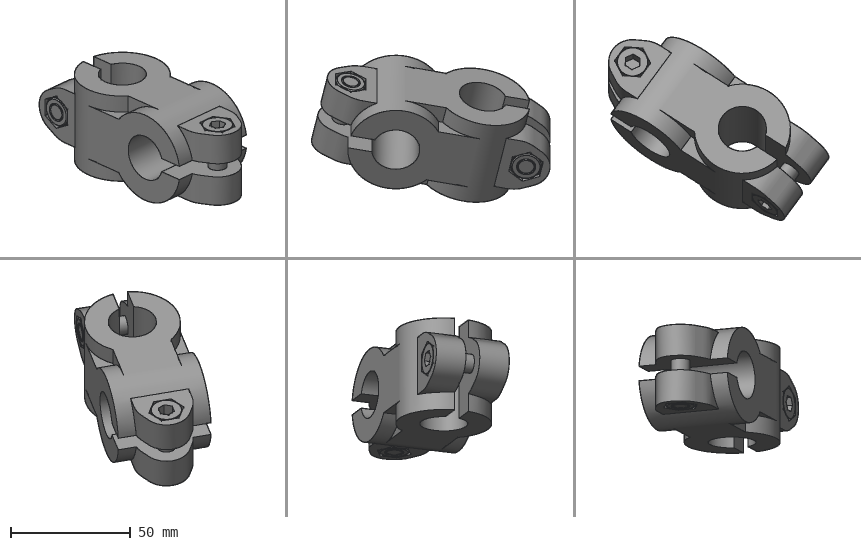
import cadquery as cq
import math


barrel_diameter = 40.0
barrel_length = 40.0
bore_diameter = 20.0
bore_spacing = 33.0
web_thickness = 25.0
slot_width = 6.2

ear_height = web_thickness
ear_span = 32.8
ear_tip_radius = 10.0
ear_flank_angle = 29.0
ear_blend_radius = 12.5

bolt_diameter = 8.0
bolt_offset = 22.5
bolt_tip_diameter = 6.5
hex_sides = 6
hex_corner_diameter = 15.0
head_diameter = 12.9
head_top_diameter = 12.6
head_height = 8.0
socket_width = 6.0
socket_depth = 5.0
nut_height = 8.0
nut_collar_height = 1.5
nut_collar_diameter = 12.6
nut_face_diameter = 11.6
nut_chamfer_angle = 15.0
nut_countersink_diameter = 8.0

barrel_x = -bore_spacing / 2
bolt_x = barrel_x - bolt_offset
ear_face = ear_span / 2
slot_overrun = 1.0


def cylinder_y(diameter, y_start, y_end):
    """Cylinder on the bolt axis between two Y positions."""
    plane = cq.Plane(origin=(bolt_x, y_start, 0), xDir=(1, 0, 0), normal=(0, 1, 0))
    return cq.Workplane(plane).circle(diameter / 2).extrude(y_end - y_start)


def hex_prism_y(corner_diameter, y_start, y_end, corner_direction):
    """Hexagonal prism on the bolt axis with a corner pointing along corner_direction."""
    plane = cq.Plane(origin=(bolt_x, y_start, 0), xDir=corner_direction, normal=(0, 1, 0))
    return cq.Workplane(plane).polygon(hex_sides, corner_diameter).extrude(y_end - y_start)


def cone_y(start_diameter, end_diameter, y_start, y_end):
    """Truncated cone on the bolt axis between two Y positions."""
    cone = cq.Solid.makeCone(
        start_diameter / 2,
        end_diameter / 2,
        abs(y_end - y_start),
        pnt=cq.Vector(bolt_x, y_start, 0),
        dir=cq.Vector(0, math.copysign(1, y_end - y_start), 0),
    )
    return cq.Workplane(cone)


def make_ears():
    """Rounded ear block: flat sides, blended into tapered flanks that meet a round tip."""
    angle = math.radians(ear_flank_angle)
    half_height = ear_height / 2
    tip_tangent_x = bolt_x - ear_tip_radius * math.sin(angle)
    tip_tangent_z = ear_tip_radius * math.cos(angle)
    corner_x = tip_tangent_x + (half_height - tip_tangent_z) / math.tan(angle)
    blend_x = corner_x + ear_blend_radius * math.tan(angle / 2)
    blend_center_z = half_height - ear_blend_radius
    blend_end_x = blend_x - ear_blend_radius * math.sin(angle)
    blend_end_z = blend_center_z + ear_blend_radius * math.cos(angle)
    blend_mid_x = blend_x - ear_blend_radius * math.sin(angle / 2)
    blend_mid_z = blend_center_z + ear_blend_radius * math.cos(angle / 2)
    return (
        cq.Workplane("XZ", origin=(0, ear_face, 0))
        .moveTo(barrel_x, half_height)
        .lineTo(blend_x, half_height)
        .threePointArc((blend_mid_x, blend_mid_z), (blend_end_x, blend_end_z))
        .lineTo(tip_tangent_x, tip_tangent_z)
        .threePointArc((bolt_x - ear_tip_radius, 0), (tip_tangent_x, -tip_tangent_z))
        .lineTo(blend_end_x, -blend_end_z)
        .threePointArc((blend_mid_x, -blend_mid_z), (blend_x, -half_height))
        .lineTo(barrel_x, -half_height)
        .close()
        .extrude(ear_span)
    )


def make_barrel():
    """Solid barrel with its ears, before boring and slotting."""
    barrel = (
        cq.Workplane("XY", origin=(barrel_x, 0, -barrel_length / 2))
        .circle(barrel_diameter / 2)
        .extrude(barrel_length)
    )
    return barrel.union(make_ears())


def make_clamp_cuts():
    """Bore, slot through the ears, and the two hexagonal pockets."""
    bore = (
        cq.Workplane("XY", origin=(barrel_x, 0, -barrel_length / 2))
        .circle(bore_diameter / 2)
        .extrude(barrel_length)
    )
    slot_length = bolt_offset + ear_tip_radius + slot_overrun
    slot = cq.Workplane("XY", origin=(barrel_x - slot_length / 2, 0, 0)).box(
        slot_length, slot_width, barrel_length
    )
    head_pocket = hex_prism_y(hex_corner_diameter, ear_face - head_height, ear_face, (0, 0, 1))
    nut_pocket = hex_prism_y(hex_corner_diameter, -ear_face, nut_height - ear_face, (0, 0, 1))
    return bore.union(slot).union(head_pocket).union(nut_pocket)


def make_head():
    """Cap head with a bevelled rim and a hexagonal socket, flush with the +Y ear face."""
    bevel = (head_diameter - head_top_diameter) / 2
    rim_y = ear_face - bevel
    head = cylinder_y(head_diameter, ear_face - head_height, rim_y)
    head = head.union(cone_y(head_diameter, head_top_diameter, rim_y, ear_face))
    socket_corner_diameter = socket_width / math.cos(math.pi / hex_sides)
    socket = hex_prism_y(socket_corner_diameter, ear_face - socket_depth, ear_face, (1, 0, 0))
    return head.cut(socket)


def make_nut():
    """Hexagonal nut with a bevelled round collar, its countersunk end flush with the -Y ear face."""
    nut_base_y = nut_height - ear_face
    shoulder_y = nut_collar_height - ear_face
    collar_bevel = (nut_collar_diameter - nut_face_diameter) / 2
    rim_y = collar_bevel - ear_face
    hexagon = hex_prism_y(hex_corner_diameter, shoulder_y, nut_base_y, (0, 0, 1))
    cone_growth = 2 * (nut_base_y - shoulder_y) / math.tan(math.radians(nut_chamfer_angle))
    envelope_base_diameter = nut_collar_diameter + cone_growth
    envelope = cone_y(nut_collar_diameter, envelope_base_diameter, shoulder_y, nut_base_y)
    collar = cylinder_y(nut_collar_diameter, rim_y, nut_base_y)
    collar_rim = cone_y(nut_collar_diameter, nut_face_diameter, rim_y, -ear_face)
    countersink_end = (nut_countersink_diameter - bolt_tip_diameter) / 2 - ear_face
    countersink = cone_y(nut_countersink_diameter, bolt_tip_diameter, -ear_face, countersink_end)
    return hexagon.intersect(envelope).union(collar).union(collar_rim).cut(countersink)


def make_bolt():
    """Bolt shank with a bevelled tip, joined to its head and nut."""
    tip_bevel = (bolt_diameter - bolt_tip_diameter) / 2
    bevel_y = tip_bevel - ear_face
    shank = cylinder_y(bolt_diameter, bevel_y, ear_face - head_height)
    tip = cone_y(bolt_diameter, bolt_tip_diameter, bevel_y, -ear_face)
    return shank.union(tip).union(make_head()).union(make_nut())


def on_second_clamp(shape):
    """Half turn about the Y = Z diagonal, which carries the first clamp onto the second."""
    return shape.rotate((0, 0, 0), (0, 1, 1), 180)


barrel_blank = make_barrel()
clamp_cuts = make_clamp_cuts()
bolt = make_bolt()
web_plate = cq.Workplane("XY").box(bore_spacing, web_thickness, barrel_length)

body = barrel_blank.union(web_plate)
body = body.union(on_second_clamp(barrel_blank)).union(on_second_clamp(web_plate))
body = body.cut(clamp_cuts).cut(on_second_clamp(clamp_cuts))
result = body.union(bolt).union(on_second_clamp(bolt))